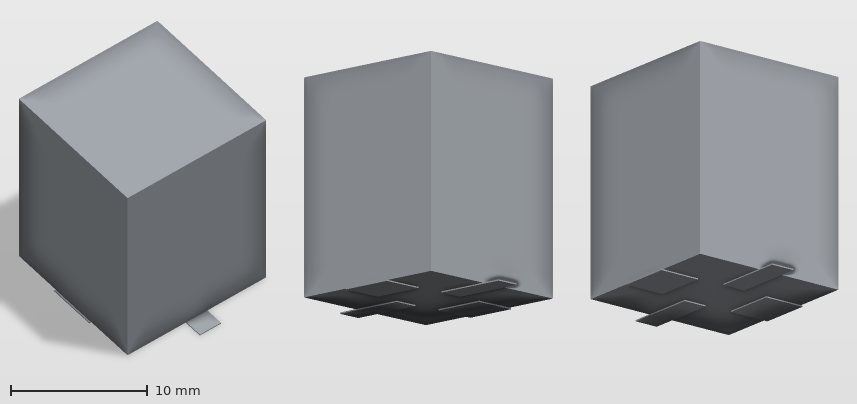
import cadquery as cq

overall_x = 16.1
overall_y = 13.16
overall_z = 16.6

body_side = 12.9
terminal_thickness = 0.1

side_terminal_length = 5.78
side_terminal_width = 1.96

end_terminal_length = 3.39
end_terminal_width = 4.15


def make_body():
    """Plain block resting on top of the terminals."""
    height = overall_z - terminal_thickness
    block = cq.Workplane("XY").box(body_side, body_side, height, centered=(True, True, False))
    return block.translate((0, 0, terminal_thickness))


def make_terminal(size_x, size_y, center_x, center_y):
    """Flat rectangular strip lying on the base plane under the body."""
    strip = cq.Workplane("XY").box(size_x, size_y, terminal_thickness, centered=(True, True, False))
    return strip.translate((center_x, center_y, 0))


body = make_body()

side_terminal_center = (overall_x - side_terminal_length) / 2
end_terminal_center = (overall_y - end_terminal_length) / 2

terminals = []
for direction in (-1, 1):
    side_terminal = make_terminal(
        side_terminal_length, side_terminal_width, direction * side_terminal_center, 0
    )
    end_terminal = make_terminal(
        end_terminal_width, end_terminal_length, 0, direction * end_terminal_center
    )
    terminals.extend([side_terminal.val(), end_terminal.val()])

result = cq.Compound.makeCompound([body.val(), *terminals])